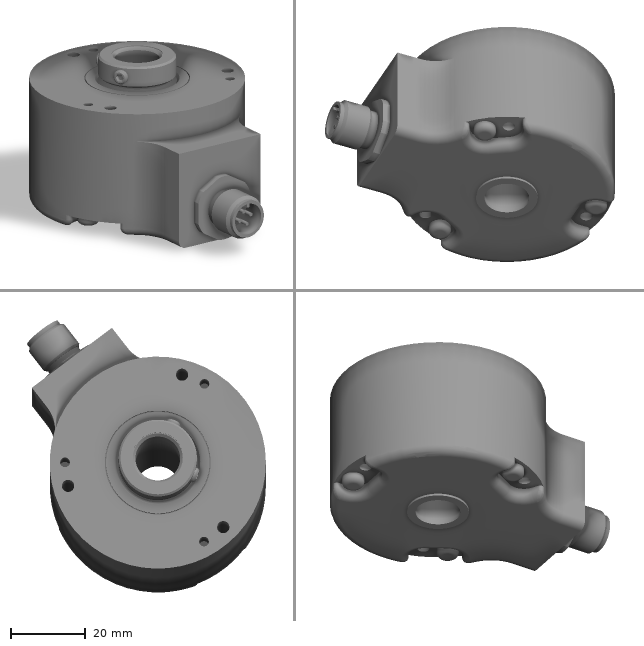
import cadquery as cq
import math

BODY_RADIUS = 29.0
BODY_HEIGHT = 35.0
UNDERSIDE_FILLET = 2.2

BLOCK_ANGLE = -30.0
BLOCK_REACH = 38.0
BLOCK_HALF_WIDTH = 13.5
BLOCK_HEIGHT = 27.2
BLOCK_BLEND_RADIUS = 10.0

BORE_RADIUS = 6.0
BORE_CHAMFER_WIDTH = 0.7
BORE_CHAMFER_DEPTH = 0.8
SHAFT_RADIUS = 8.3
SHAFT_BOTTOM = -0.6
SHAFT_TIP_RADIUS = 6.9
COLLAR_RADIUS = 10.5
COLLAR_BOTTOM = 35.7
COLLAR_TOP = 41.7
COLLAR_CHAMFER = 0.5
SHAFT_TIP_RECESS = 0.2

SET_SCREW_ANGLES = (180.0, 270.0)
SET_SCREW_RADIUS = 2.0
SET_SCREW_REACH = 11.5
SET_SCREW_CHAMFER = 0.5
SET_SCREW_SOCKET_WIDTH = 2.0
SET_SCREW_SOCKET_DEPTH = 1.5
SET_SCREW_POINT_DEPTH = 0.6

V_GROOVE_OUTER_RADIUS = 11.4
V_GROOVE_ROOT_RADIUS = 10.7
V_GROOVE_INNER_RADIUS = 9.2
V_GROOVE_DEPTH = 0.7
RING_OUTER_RADIUS = 14.2
RING_INNER_RADIUS = 13.9
RING_DEPTH = 0.5

STATION_ANGLES = (30.0, 150.0, 270.0)
HOLE_CIRCLE_RADIUS = 24.9
HOLE_OFFSET_ANGLE = 7.5
THROUGH_HOLE_RADIUS = 1.65
BLIND_HOLE_RADIUS = 1.3
BLIND_HOLE_DEPTH = 6.0
POCKET_HEIGHT = 3.7
POCKET_HALF_WIDTH = 7.2
POCKET_CORNER_RADIUS = 4.4
POCKET_MOUTH_FILLET = 1.0
SCREW_HEAD_RADIUS = 3.0
SCREW_HEAD_HEIGHT = 2.6
SCREW_HEAD_FILLET = 1.4

PLUG_HEIGHT = 9.6
NUT_WIDTH = 17.0
NUT_CORNER_RADIUS = 9.0
NUT_THICKNESS = 2.0
NUT_TURN = 30.0
NECK_RADIUS = 5.2
NECK_LENGTH = 2.0
PLUG_RADIUS = 6.0
PLUG_BODY_LENGTH = 7.9
PLUG_REAR_CHAMFER = 0.6
PLUG_FRONT_CHAMFER = 0.8
PLUG_TIP_RADIUS = 5.2
PLUG_TIP_LENGTH = 1.1
SOCKET_RADIUS = 4.3
SOCKET_DEPTH = 7.0
PIN_COUNT = 4
PIN_RADIUS = 0.5
PIN_SETBACK = 1.2
PIN_CIRCLE_RADIUS = 1.9
PIN_START_ANGLE = 17.0
KEY_WIDTH = 0.9
KEY_HEIGHT = 1.0

OVERLAP = 1.0
TOLERANCE = 0.01


def disc(radius, bottom, top):
    """Upright cylinder on the Z axis."""
    return cq.Workplane("XY").workplane(offset=bottom).circle(radius).extrude(top - bottom)


def turned(shape, angle):
    """Rotate a shape about the Z axis."""
    return shape.rotate((0, 0, 0), (0, 0, 1), angle)


def radial_plane(distance, height):
    """Plane facing +X, at a distance along X, with local x along Y and local y along Z."""
    return cq.Workplane(cq.Plane(origin=(distance, 0, height), xDir=(0, 1, 0), normal=(1, 0, 0)))


def hexagon(width, start, height, length):
    """Hexagonal bar along X, sized across its flats; a negative length runs toward -X."""
    sides = 6
    corner_diameter = width / math.cos(math.pi / sides)
    return radial_plane(start, height).polygon(sides, corner_diameter).extrude(length)


def make_block():
    """Block along +X whose sides sweep into the drum through concave arcs."""
    arc_y = BLOCK_HALF_WIDTH + BLOCK_BLEND_RADIUS
    centre_distance = BODY_RADIUS + BLOCK_BLEND_RADIUS
    arc_x = math.sqrt(centre_distance**2 - arc_y**2)
    drum_x = arc_x * BODY_RADIUS / centre_distance
    drum_y = arc_y * BODY_RADIUS / centre_distance
    outline = (
        cq.Workplane("XY")
        .moveTo(drum_x, -drum_y)
        .radiusArc((arc_x, -BLOCK_HALF_WIDTH), BLOCK_BLEND_RADIUS)
        .lineTo(BLOCK_REACH, -BLOCK_HALF_WIDTH)
        .lineTo(BLOCK_REACH, BLOCK_HALF_WIDTH)
        .lineTo(arc_x, BLOCK_HALF_WIDTH)
        .radiusArc((drum_x, drum_y), BLOCK_BLEND_RADIUS)
        .lineTo(0, 0)
        .close()
    )
    return outline.extrude(BLOCK_HEIGHT)


def make_pocket():
    """Pocket along +X, open to the rim, with rounded inner corners."""
    hole_x = HOLE_CIRCLE_RADIUS * math.cos(math.radians(HOLE_OFFSET_ANGLE))
    inner_x = hole_x - POCKET_CORNER_RADIUS
    length = BODY_RADIUS + OVERLAP - inner_x
    return (
        cq.Workplane("XY")
        .box(length, 2 * POCKET_HALF_WIDTH, POCKET_HEIGHT, centered=(False, True, False))
        .translate((inner_x, 0, 0))
        .edges("|Z and <X")
        .fillet(POCKET_CORNER_RADIUS)
    )


def is_pocket_mouth_edge(edge):
    """True for an edge where a pocket's side wall meets the drum's outer wall."""
    centre = edge.Center()
    on_rim = abs(math.hypot(centre.x, centre.y) - BODY_RADIUS) < TOLERANCE
    return on_rim and centre.z < POCKET_HEIGHT


def is_not_block_end_edge(edge):
    """True for every edge except the one along the block's end face."""
    return edge.Center().x < BLOCK_REACH - TOLERANCE


def make_housing():
    """Drum and block with the pockets cut and the underside rounded."""
    housing = disc(BODY_RADIUS, 0, BODY_HEIGHT).union(make_block())
    for angle in STATION_ANGLES:
        housing = housing.cut(turned(make_pocket(), angle - BLOCK_ANGLE))
    mouth_edges = housing.edges("|Z").filter(is_pocket_mouth_edge)
    housing = mouth_edges.fillet(POCKET_MOUTH_FILLET)
    underside_edges = housing.faces("<Z").edges().filter(is_not_block_end_edge)
    housing = underside_edges.fillet(UNDERSIDE_FILLET)
    return turned(housing, BLOCK_ANGLE)


def add_stations(part):
    """Drill each station's two holes and set a screw head in its pocket."""
    head_bottom = POCKET_HEIGHT - SCREW_HEAD_HEIGHT
    for angle in STATION_ANGLES:
        through = disc(THROUGH_HOLE_RADIUS, 0, BODY_HEIGHT).translate((HOLE_CIRCLE_RADIUS, 0, 0))
        blind = disc(BLIND_HOLE_RADIUS, BODY_HEIGHT - BLIND_HOLE_DEPTH, BODY_HEIGHT)
        blind = blind.translate((HOLE_CIRCLE_RADIUS, 0, 0))
        head = disc(SCREW_HEAD_RADIUS, head_bottom, POCKET_HEIGHT + OVERLAP)
        head = head.faces("<Z").edges().fillet(SCREW_HEAD_FILLET).translate((HOLE_CIRCLE_RADIUS, 0, 0))
        part = part.cut(turned(through, angle + HOLE_OFFSET_ANGLE))
        part = part.cut(turned(blind, angle - HOLE_OFFSET_ANGLE))
        part = part.union(turned(head, angle - HOLE_OFFSET_ANGLE))
    return part


def revolved(profile):
    """Solid swept round the Z axis from a list of (radius, height) points."""
    return cq.Workplane("XZ").polyline(profile).close().revolve(360, (0, 0, 0), (0, 1, 0))


def cut_top_grooves(part):
    """Cut the V groove round the shaft and the fine ring groove."""
    v_groove = revolved([
        (V_GROOVE_OUTER_RADIUS, BODY_HEIGHT),
        (V_GROOVE_ROOT_RADIUS, BODY_HEIGHT - V_GROOVE_DEPTH),
        (V_GROOVE_INNER_RADIUS, BODY_HEIGHT),
    ])
    part = part.cut(v_groove)
    ring = disc(RING_OUTER_RADIUS, BODY_HEIGHT - RING_DEPTH, BODY_HEIGHT)
    return part.cut(ring.cut(disc(RING_INNER_RADIUS, BODY_HEIGHT - RING_DEPTH, BODY_HEIGHT)))


def make_set_screw():
    """Set screw along +X, and the hexagon socket with a drill point to cut into it."""
    start = COLLAR_RADIUS - OVERLAP
    height = (COLLAR_BOTTOM + COLLAR_TOP) / 2
    screw = radial_plane(start, height).circle(SET_SCREW_RADIUS).extrude(SET_SCREW_REACH - start)
    screw = screw.faces(">X").edges().chamfer(SET_SCREW_CHAMFER)
    socket = hexagon(SET_SCREW_SOCKET_WIDTH, SET_SCREW_REACH, height, -SET_SCREW_SOCKET_DEPTH)
    floor = cq.Vector(SET_SCREW_REACH - SET_SCREW_SOCKET_DEPTH, 0, height)
    inward = cq.Vector(-1, 0, 0)
    point = cq.Solid.makeCone(SET_SCREW_SOCKET_WIDTH / 2, 0, SET_SCREW_POINT_DEPTH, floor, inward)
    return screw, socket.union(cq.Workplane(obj=point))


def add_shaft(part):
    """Add the hollow shaft, the collar and its set screws, then bore them through."""
    part = part.union(disc(SHAFT_RADIUS, SHAFT_BOTTOM, COLLAR_BOTTOM + OVERLAP))
    collar = disc(COLLAR_RADIUS, COLLAR_BOTTOM, COLLAR_TOP).edges().chamfer(COLLAR_CHAMFER)
    part = part.union(collar)
    for angle in SET_SCREW_ANGLES:
        screw, socket = make_set_screw()
        part = part.union(turned(screw, angle)).cut(turned(socket, angle))
    seat = COLLAR_TOP - SHAFT_TIP_RECESS
    bore = revolved([
        (0, SHAFT_BOTTOM),
        (BORE_RADIUS, SHAFT_BOTTOM),
        (BORE_RADIUS, seat - BORE_CHAMFER_DEPTH),
        (BORE_RADIUS + BORE_CHAMFER_WIDTH, seat),
        (SHAFT_TIP_RADIUS, seat),
        (SHAFT_TIP_RADIUS, COLLAR_TOP),
        (0, COLLAR_TOP),
    ])
    return part.cut(bore)


def make_plug():
    """Connector along +X: nut, neck, plug body, tip and a socket with pins and a key."""
    nut_end = BLOCK_REACH + NUT_THICKNESS
    neck_end = nut_end + NECK_LENGTH
    body_end = neck_end + PLUG_BODY_LENGTH
    tip_end = body_end + PLUG_TIP_LENGTH

    def rod(radius, start, end):
        return radial_plane(start, PLUG_HEIGHT).circle(radius).extrude(end - start)

    nut_start = BLOCK_REACH - OVERLAP
    nut = hexagon(NUT_WIDTH, nut_start, PLUG_HEIGHT, nut_end - nut_start)
    nut = nut.rotate((0, 0, PLUG_HEIGHT), (1, 0, PLUG_HEIGHT), NUT_TURN)
    plug = nut.intersect(rod(NUT_CORNER_RADIUS, nut_start, nut_end))
    plug = plug.union(rod(NECK_RADIUS, nut_start, neck_end + OVERLAP))
    body = rod(PLUG_RADIUS, neck_end, body_end)
    body = body.faces("<X").edges().chamfer(PLUG_REAR_CHAMFER)
    body = body.faces(">X").edges().chamfer(PLUG_FRONT_CHAMFER)
    plug = plug.union(body)
    plug = plug.union(rod(PLUG_TIP_RADIUS, body_end - OVERLAP, tip_end))
    socket_floor = tip_end - SOCKET_DEPTH
    plug = plug.cut(rod(SOCKET_RADIUS, socket_floor, tip_end))
    pins = (
        radial_plane(socket_floor - OVERLAP, PLUG_HEIGHT)
        .polarArray(PIN_CIRCLE_RADIUS, PIN_START_ANGLE, 360, PIN_COUNT)
        .circle(PIN_RADIUS)
        .extrude(SOCKET_DEPTH + OVERLAP - PIN_SETBACK)
    )
    wall_middle = (SOCKET_RADIUS + PLUG_TIP_RADIUS) / 2
    key_height = wall_middle - SOCKET_RADIUS + KEY_HEIGHT
    key = (
        radial_plane(socket_floor, PLUG_HEIGHT)
        .center(0, wall_middle - key_height / 2)
        .rect(KEY_WIDTH, key_height)
        .extrude(SOCKET_DEPTH)
    )
    return turned(plug.union(pins).union(key), BLOCK_ANGLE)


result = make_housing()
result = add_stations(result)
result = cut_top_grooves(result)
result = add_shaft(result)
result = result.union(make_plug())